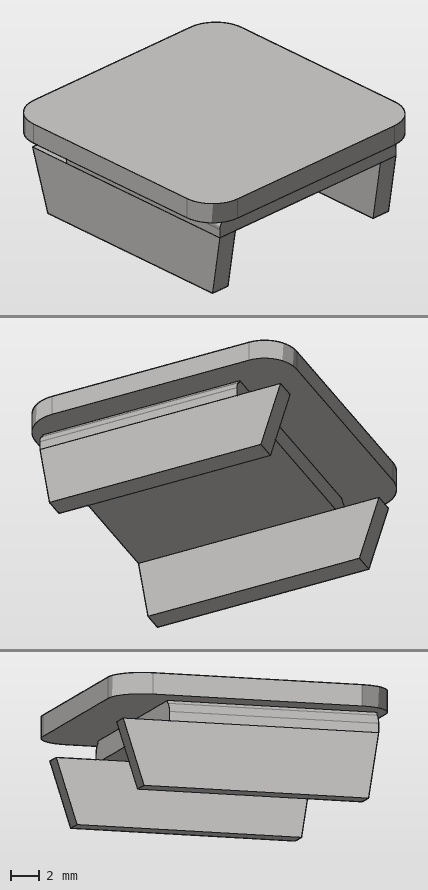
import cadquery as cq
import math

plate_side = 20.64
plate_thickness = 1.55
corner_radius = 2.54

block_length = plate_side - 2 * corner_radius
block_width = 17.5
block_height = plate_thickness
block_end_x = 9.5
block_start_x = block_end_x - block_length

shoulder_radius = 0.78
shoulder_start_height = 0.67
shoulder_angle = math.radians(56)

leg_thickness = plate_thickness
leg_height = 4.77
leg_half_length = block_end_x
leg_start_taper = 1.55
leg_end_taper = 0.75

block_bottom_z = leg_height
plate_bottom_z = block_bottom_z + block_height


def make_plate():
    """Square plate with rounded corners."""
    return (
        cq.Workplane("XY")
        .workplane(offset=plate_bottom_z)
        .rect(plate_side, plate_side)
        .extrude(plate_thickness)
        .edges("|Z")
        .fillet(corner_radius)
    )


def arc_point(center, radius, angle):
    """Point on a circle in the YZ plane, the angle measured from +Y towards +Z."""
    return (
        center[0] + radius * math.cos(angle),
        center[1] + radius * math.sin(angle),
    )


def make_block():
    """Spacer block, its YZ profile extruded along X."""
    half_width = block_width / 2
    shoulder_center = (half_width - shoulder_radius, block_bottom_z + shoulder_start_height)
    shoulder_end = arc_point(shoulder_center, shoulder_radius, shoulder_angle)

    neck_radius = (plate_bottom_z - shoulder_end[1]) / math.sin(shoulder_angle)
    neck_center = (shoulder_end[0] + neck_radius * math.cos(shoulder_angle), plate_bottom_z)

    half_profile = (
        cq.Workplane("YZ")
        .workplane(offset=block_start_x)
        .moveTo(0, block_bottom_z)
        .lineTo(half_width, block_bottom_z)
        .lineTo(*arc_point(shoulder_center, shoulder_radius, 0))
        .threePointArc(arc_point(shoulder_center, shoulder_radius, shoulder_angle / 2), shoulder_end)
        .threePointArc(
            arc_point(neck_center, neck_radius, math.pi + shoulder_angle / 2),
            arc_point(neck_center, neck_radius, math.pi),
        )
        .lineTo(0, plate_bottom_z)
    )
    return half_profile.mirrorY().extrude(block_length)


def make_cap():
    """Plate and spacer block as one body."""
    return make_plate().union(make_block())


def make_leg(side):
    """One leg; side is -1 or +1 along Y."""
    outline = [
        (-leg_half_length, leg_height),
        (leg_half_length, leg_height),
        (leg_half_length - leg_end_taper, 0),
        (-leg_half_length + leg_start_taper, 0),
    ]
    center_y = side * (block_width - leg_thickness) / 2
    return (
        cq.Workplane("XZ", origin=(0, center_y, 0))
        .polyline(outline)
        .close()
        .extrude(leg_thickness / 2, both=True)
    )


cap = make_cap()
legs = [make_leg(side) for side in (-1, 1)]

result = cq.Compound.makeCompound([cap.val(), *[leg.val() for leg in legs]])